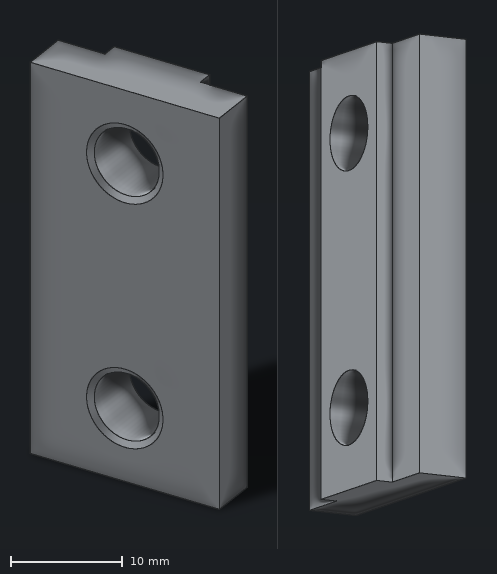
import cadquery as cq

height = 40.0
plate_width = 19.8
total_depth = 6.4

tongue_width = 10.0
tongue_depth = 1.6
plate_depth = total_depth - tongue_depth

hole_diameter = 6.8
countersink_diameter = 8.0
countersink_angle = 120.0
hole_spacing = 25.0


def block(width, depth):
    """Full-height block centred on X and Z, with its front face at Y = 0."""
    return cq.Workplane("XY").box(width, depth, height, centered=(True, False, True))


plate = block(plate_width, plate_depth)
tongue = block(tongue_width, total_depth)
body = plate.union(tongue)

result = (
    body.faces("<Y")
    .workplane(origin=(0, 0, 0))
    .pushPoints([(0, -hole_spacing / 2), (0, hole_spacing / 2)])
    .cskHole(hole_diameter, countersink_diameter, countersink_angle)
)